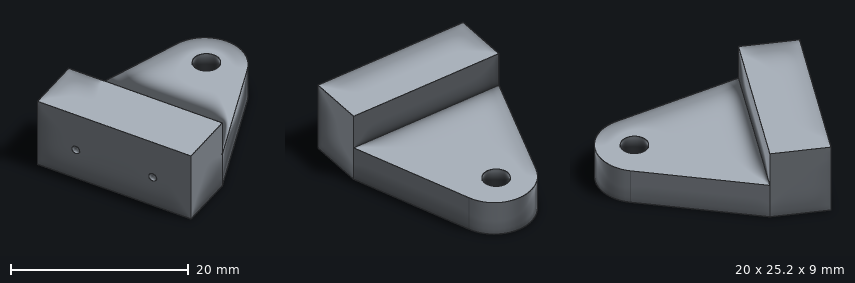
import cadquery as cq
import math

width = 20.0
length = 25.2
height = 9.0

block_depth = 7.0
tongue_thickness = height / 2
tip_radius = 4.9

pivot_diameter = 3.2
pivot_from_tip = 4.5
pin_diameter = 1.0
pin_spacing = width / 2
pin_height = 4.0
pin_depth = 5.05


def make_block():
    return cq.Workplane("XY").box(width, block_depth, height, centered=(True, False, False))


def make_tongue():
    """Plate whose straight sides run tangent from the block corners into a round tip."""
    half_width = width / 2
    tip_center = length - tip_radius
    center_distance = tip_center - block_depth

    corner_distance = math.hypot(half_width, center_distance)
    corner_angle = math.atan2(-center_distance, half_width)
    tangent_angle = corner_angle + math.acos(tip_radius / corner_distance)
    tangent_x = tip_radius * math.cos(tangent_angle)
    tangent_y = tip_center + tip_radius * math.sin(tangent_angle)

    return (
        cq.Workplane("XY")
        .moveTo(-half_width, block_depth)
        .lineTo(half_width, block_depth)
        .lineTo(tangent_x, tangent_y)
        .threePointArc((0, length), (-tangent_x, tangent_y))
        .close()
        .extrude(tongue_thickness)
    )


def make_pivot_hole():
    return (
        cq.Workplane("XY")
        .center(0, length - pivot_from_tip)
        .circle(pivot_diameter / 2)
        .extrude(tongue_thickness)
    )


def make_pin_holes():
    """Pair of blind holes entering the front face of the block."""
    return (
        cq.Workplane("XZ")
        .pushPoints([(side * pin_spacing / 2, pin_height) for side in (-1, 1)])
        .circle(pin_diameter / 2)
        .extrude(-pin_depth)
    )


result = make_block().union(make_tongue()).cut(make_pivot_hole()).cut(make_pin_holes())